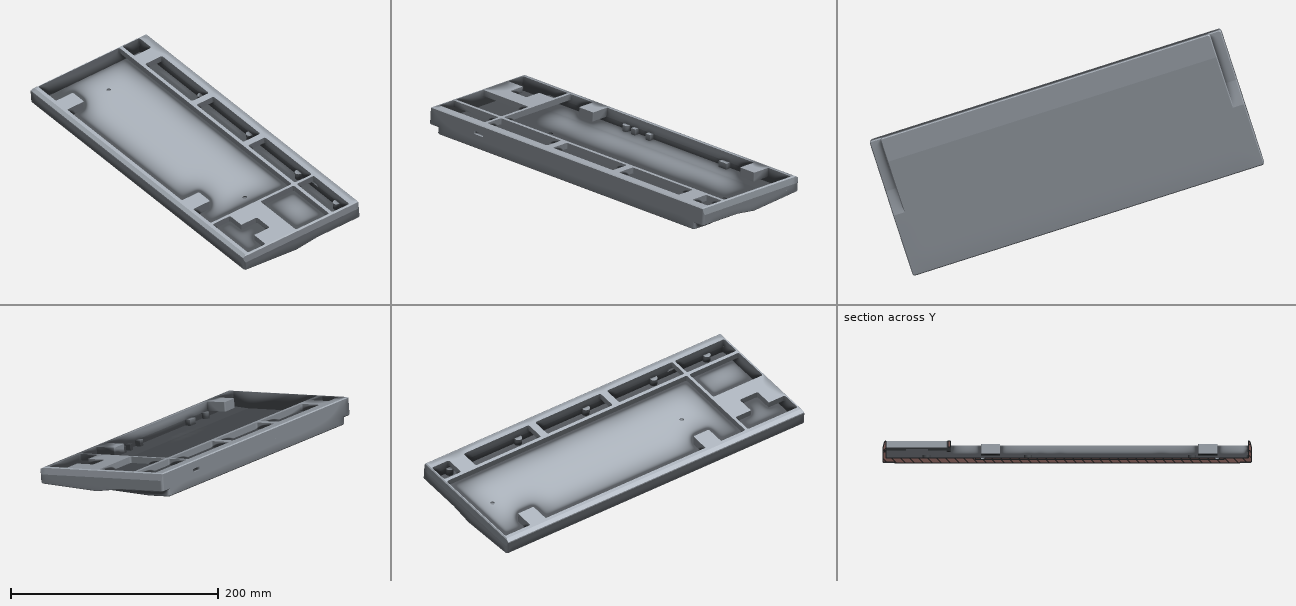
import cadquery as cq
import math

TILT = 4.5
CASE_WIDTH = 356.5
CASE_DEPTH = 137.5
CORNER_RADIUS = 2.5
SPLIT_HEIGHT = 10.5

FRAME_HEIGHT = 11.0
SKIN_THICKNESS = 6.25
DRAFT_START = 4.0
DRAFT_INSET = 1.6
RIM_BEVEL_DROP = 0.9
RIM_BEVEL_INSET = 1.0
FRONT_BEVEL_DROP = 1.95
FRONT_BEVEL_DEPTH = 4.3
FRONT_EDGE_INSET = 0.5

OPENING_RADIUS = 1.8
WELL_LEFT = -174.93
WELL_RIGHT = 174.58
WELL_FRONT = -60.8
WELL_BACK = 59.5
FUNCTION_ROW_FRONT = 39.2
MAIN_BACK = 35.5
ESCAPE_RIGHT = -154.8
FUNCTION_BLOCK_LEFT = -137.3
FUNCTION_BLOCK_WIDTH = 78.0
FUNCTION_BLOCK_PITCH = 85.77
DIVIDER_WIDTH = 3.03
NAVIGATION_FRONT = -4.0
ARROW_ROW_BACK = -40.0
ARROW_UP_BACK = -21.5
ARROW_UP_LEFT = 134.0
ARROW_UP_WIDTH = 21.5
TAB_LEFTS = (-145.0, 64.5)
TAB_WIDTH = 18.5
TAB_BACK = -40.5
TAB_RADIUS = 1.0
PORT_X = 114.0
PORT_WIDTH = 11.8
PORT_HEIGHT = 3.2

SLAB_THICKNESS = 7.0
FLOOR_THICKNESS = 1.8
UNDERSIDE_BEVEL = 0.9
FLAT_FLOOR_EDGE = -43.5
RAMP_FRONT = -5.7
RAMP_BACK = 18.5
FOOT_INSET = 11.0
FOOT_HEEL_START = 46.5
TRAY_WELL_FRONT = -61.7
TRAY_WELL_BACK = 60.3
TRAY_WELL_RADIUS = 2.5
STANDOFF_DIAMETER = 8.0
LIP_HEIGHT = 1.8
LIP_WIDTH = 1.5
BACK_STANDOFF_Y = 59.0
FRONT_STANDOFF_Y = -60.0
BACK_STANDOFF_XS = (-153.7, -71.85, 9.3, 90.2, 153.7)
FRONT_STANDOFF_XS = (-120.72, 37.63, 135.5)
BLOCKS = ((-96.0, -85.5), (4.0, 9.5), (23.2, 28.5))
BLOCK_BACK = -56.17

WEIGHT_LEFT = -151.2
WEIGHT_RIGHT = 88.5
WEIGHT_FRONT = -24.5
WEIGHT_BACK = 25.0
WEIGHT_THICKNESS = 1.0
WEIGHT_RADIUS = 1.8
SCREW_XS = (-144.8, 81.5)
SCREW_Y = 0.5
SCREW_HOLE_DIAMETER = 4.3

SLOPE = math.tan(math.radians(TILT))
HALF_WIDTH = CASE_WIDTH / 2
HALF_DEPTH = CASE_DEPTH / 2
FLOOR_LEVEL = FLOOR_THICKNESS - SLAB_THICKNESS
REACH = 107.0


def box(left, right, front, back, bottom, top):
    return (
        cq.Workplane("XY", origin=(left, front, bottom))
        .box(right - left, back - front, top - bottom, centered=False)
    )


def rounded_box(left, right, front, back, bottom, top, radius):
    return box(left, right, front, back, bottom, top).edges("|Z").fillet(radius)


def side_prism(points, half_width=HALF_WIDTH):
    """Extrude a (y, z) outline across the width of the case."""
    return cq.Workplane("YZ").polyline(points).close().extrude(half_width, both=True)


def tilt(shape):
    """Move a shape from the flat frame of the joint to its tilted place."""
    return shape.rotate((0, 0, 0), (1, 0, 0), TILT).translate((0, 0, SPLIT_HEIGHT))


def tilted_z(level, y):
    """Height, at depth y, of the tilted plane that lies `level` above the joint."""
    return SPLIT_HEIGHT + level / math.cos(math.radians(TILT)) + SLOPE * y


def lip_outline():
    return rounded_box(
        WELL_LEFT - LIP_WIDTH, WELL_RIGHT + LIP_WIDTH,
        TRAY_WELL_FRONT - LIP_WIDTH, TRAY_WELL_BACK + LIP_WIDTH,
        0, LIP_HEIGHT, TRAY_WELL_RADIUS + LIP_WIDTH,
    )


def standoffs():
    centres = [(x, BACK_STANDOFF_Y) for x in BACK_STANDOFF_XS]
    centres += [(x, FRONT_STANDOFF_Y) for x in FRONT_STANDOFF_XS]
    return (
        cq.Workplane("XY", origin=(0, 0, FLOOR_LEVEL))
        .pushPoints(centres)
        .circle(STANDOFF_DIAMETER / 2)
        .extrude(LIP_HEIGHT - FLOOR_LEVEL)
    )


def port_slot():
    left = PORT_X - PORT_WIDTH / 2
    return box(left, left + PORT_WIDTH, WELL_BACK, HALF_DEPTH, 0, PORT_HEIGHT)


def frame_shell():
    bevel_base = FRAME_HEIGHT - RIM_BEVEL_DROP
    drafted = HALF_WIDTH - DRAFT_INSET
    right_side = [
        (HALF_WIDTH, 0),
        (HALF_WIDTH, DRAFT_START),
        (drafted, bevel_base),
        (drafted - RIM_BEVEL_INSET, FRAME_HEIGHT),
    ]
    left_side = [(-x, z) for x, z in reversed(right_side)]
    cross_section = (
        cq.Workplane("XZ").polyline(right_side + left_side).close().extrude(HALF_DEPTH, both=True)
    )
    front_edge = FRAME_HEIGHT - FRONT_BEVEL_DROP
    lengthwise = side_prism([
        (-HALF_DEPTH, 0),
        (-HALF_DEPTH, front_edge - RIM_BEVEL_DROP),
        (-HALF_DEPTH + FRONT_EDGE_INSET, front_edge),
        (-HALF_DEPTH + FRONT_BEVEL_DEPTH, FRAME_HEIGHT),
        (HALF_DEPTH - RIM_BEVEL_INSET, FRAME_HEIGHT),
        (HALF_DEPTH, bevel_base),
        (HALF_DEPTH, 0),
    ])
    footprint = rounded_box(
        -HALF_WIDTH, HALF_WIDTH, -HALF_DEPTH, HALF_DEPTH, 0, FRAME_HEIGHT, CORNER_RADIUS
    )
    return cross_section.intersect(lengthwise).intersect(footprint)


def key_opening(left, right, front, back):
    return rounded_box(left, right, front, back, 0, FRAME_HEIGHT, OPENING_RADIUS)


def key_openings():
    main_right = FUNCTION_BLOCK_LEFT + 2 * FUNCTION_BLOCK_PITCH + FUNCTION_BLOCK_WIDTH
    column_left = main_right + DIVIDER_WIDTH
    openings = [
        key_opening(WELL_LEFT, ESCAPE_RIGHT, FUNCTION_ROW_FRONT, WELL_BACK),
        key_opening(column_left, WELL_RIGHT, FUNCTION_ROW_FRONT, WELL_BACK),
        key_opening(WELL_LEFT, main_right, WELL_FRONT, MAIN_BACK),
        key_opening(column_left, WELL_RIGHT, NAVIGATION_FRONT, MAIN_BACK),
        key_opening(column_left, WELL_RIGHT, WELL_FRONT, ARROW_ROW_BACK),
        key_opening(ARROW_UP_LEFT, ARROW_UP_LEFT + ARROW_UP_WIDTH, WELL_FRONT, ARROW_UP_BACK),
    ]
    for i in range(3):
        left = FUNCTION_BLOCK_LEFT + i * FUNCTION_BLOCK_PITCH
        openings.append(
            key_opening(left, left + FUNCTION_BLOCK_WIDTH, FUNCTION_ROW_FRONT, WELL_BACK)
        )
    return openings


def make_frame():
    frame = frame_shell()
    hollow_top = FRAME_HEIGHT - SKIN_THICKNESS
    frame = frame.cut(box(WELL_LEFT, WELL_RIGHT, WELL_FRONT, WELL_BACK, 0, hollow_top))
    for opening in key_openings():
        frame = frame.cut(opening)
    for left in TAB_LEFTS:
        tab = box(left, left + TAB_WIDTH, WELL_FRONT, TAB_BACK, LIP_HEIGHT, FRAME_HEIGHT)
        frame = frame.union(tab.edges("|Z and >Y").fillet(TAB_RADIUS))
    return tilt(frame.cut(lip_outline()).cut(standoffs()).cut(port_slot()))


def weight_blank():
    return rounded_box(
        WEIGHT_LEFT, WEIGHT_RIGHT, WEIGHT_FRONT, WEIGHT_BACK,
        FLOOR_LEVEL - WEIGHT_THICKNESS, FLOOR_LEVEL, WEIGHT_RADIUS,
    )


def make_weight():
    weight = (
        weight_blank()
        .faces(">Z")
        .workplane(origin=(0, 0, FLOOR_LEVEL))
        .pushPoints([(x, SCREW_Y) for x in SCREW_XS])
        .hole(SCREW_HOLE_DIAMETER)
    )
    return tilt(weight)


def tilted_block(inset):
    """Rounded block under the joint, deep enough to pass through the ground plane."""
    half = HALF_WIDTH - inset
    deep = -2 * (SPLIT_HEIGHT + SLAB_THICKNESS)
    return tilt(rounded_box(-half, half, -HALF_DEPTH, HALF_DEPTH, deep, 0, CORNER_RADIUS))


def is_ramp_fold(edge):
    """True for the two creases that cross the underside at the ends of the ramp."""
    y = edge.Center().y
    return edge.geomType() == "LINE" and abs(edge.tangentAt(0).x) > 0.9 and abs(y) < HALF_DEPTH / 2


def tray_slab():
    underside = side_prism([
        (-REACH, 0),
        (RAMP_FRONT, 0),
        (RAMP_BACK, tilted_z(-SLAB_THICKNESS, RAMP_BACK)),
        (REACH, tilted_z(-SLAB_THICKNESS, REACH)),
        (REACH, REACH),
        (-REACH, REACH),
    ])
    slab = tilted_block(0).intersect(underside)
    underside_faces = slab.faces().filter(lambda face: face.normalAt().z < -0.9)
    rim = underside_faces.edges().filter(lambda edge: not is_ramp_fold(edge))
    return rim.chamfer(UNDERSIDE_BEVEL)


def tray_foot():
    foot_profile = side_prism([
        (RAMP_FRONT, 0),
        (FOOT_HEEL_START, 0),
        (REACH, SLOPE * (REACH - FOOT_HEEL_START)),
        (REACH, tilted_z(FLOOR_LEVEL, REACH)),
        (RAMP_FRONT, tilted_z(FLOOR_LEVEL, RAMP_FRONT)),
    ])
    foot = tilted_block(FOOT_INSET).intersect(foot_profile)
    return foot.faces(">Y").edges("<Z").chamfer(UNDERSIDE_BEVEL)


def tray_well():
    above_floor = side_prism([
        (-REACH, tilted_z(FLOOR_LEVEL, FLAT_FLOOR_EDGE)),
        (FLAT_FLOOR_EDGE, tilted_z(FLOOR_LEVEL, FLAT_FLOOR_EDGE)),
        (REACH, tilted_z(FLOOR_LEVEL, REACH)),
        (REACH, REACH),
        (-REACH, REACH),
    ])
    outline = rounded_box(
        WELL_LEFT, WELL_RIGHT, TRAY_WELL_FRONT, TRAY_WELL_BACK,
        -SLAB_THICKNESS, SLAB_THICKNESS, TRAY_WELL_RADIUS,
    )
    return tilt(outline).intersect(above_floor)


def make_tray():
    tray = tray_slab().union(tray_foot()).union(tilt(lip_outline()))
    tray = tray.cut(tray_well()).cut(tilt(port_slot()))
    tray = tray.union(tilt(standoffs()))
    for left, right in BLOCKS:
        block = box(left, right, TRAY_WELL_FRONT, BLOCK_BACK, FLOOR_LEVEL, LIP_HEIGHT)
        tray = tray.union(tilt(block))
    return tray.cut(tilt(weight_blank()))


frame = make_frame()
weight = make_weight()
tray = make_tray()

result = cq.Compound.makeCompound([frame.val(), tray.val(), weight.val()])